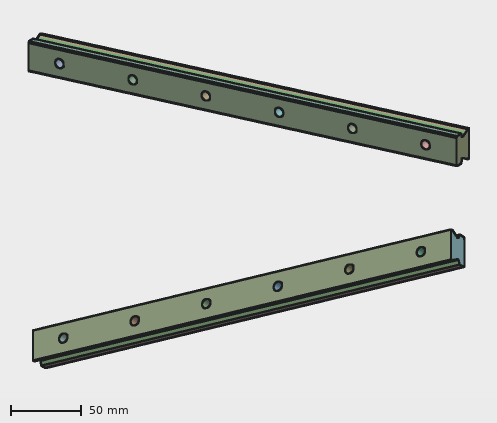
import cadquery as cq

LENGTH = 350.0
DEPTH = 18.0
HEIGHT = 23.0

HOLE_COUNT = 6
HOLE_PITCH = 60.0
HOLE_DIAMETER = 7.0

FRONT_CHAMFER = 1.0

GROOVE_START = 2.0
SLOPE_BREAK = 4.2
FLOOR_START = 8.5
FLOOR_END = 9.8
GROOVE_END = 11.2
BREAK_DROP = 1.22
GROOVE_DROP = 3.0


def make_bar():
    """Rectangular bar with chamfered long edges on its front (-Y) face."""
    bar = cq.Workplane("XY").box(LENGTH, DEPTH, HEIGHT)
    return bar.faces("<Y").edges("|X").chamfer(FRONT_CHAMFER)


def make_top_groove():
    """Asymmetric groove: a long two-slope flank behind, a steep flank in front."""
    back = DEPTH / 2
    top = HEIGHT / 2
    outline = [
        (back - GROOVE_START, top),
        (back - SLOPE_BREAK, top - BREAK_DROP),
        (back - FLOOR_START, top - GROOVE_DROP),
        (back - FLOOR_END, top - GROOVE_DROP),
        (back - GROOVE_END, top),
    ]
    return cq.Workplane("YZ").polyline(outline).close().extrude(LENGTH / 2, both=True)


def make_holes():
    """Row of evenly spaced through holes, centred on the rail."""
    return (
        cq.Workplane("XZ")
        .rarray(HOLE_PITCH, 3.5, HOLE_COUNT, 1)
        .circle(HOLE_DIAMETER / 2)
        .extrude(DEPTH, both=True)
    )


top_groove = make_top_groove()
bottom_groove = top_groove.mirror("XY")
result = make_bar().cut(top_groove).cut(bottom_groove).cut(make_holes())